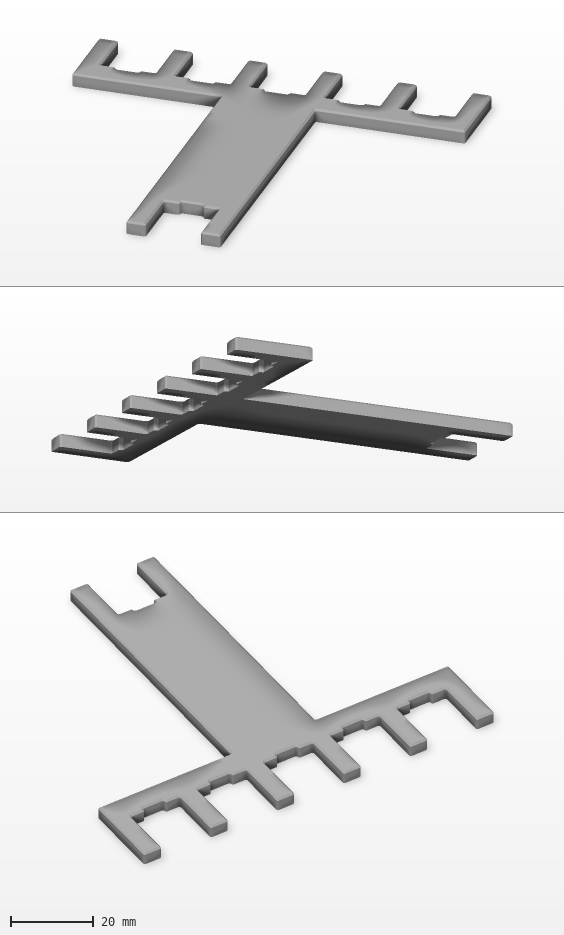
import cadquery as cq

length = 100.3
height = 94.0
thickness = 3.4

finger_count = 6
finger_width = 5.0
finger_pitch = (length - finger_width) / (finger_count - 1)
slot_width = finger_pitch - finger_width
slot_depth = 13.9
notch_width = 6.0
notch_depth = 1.0

bar_depth = 21.0
stem_width = finger_pitch + finger_width

corner_radius = 0.49
top_chamfer = 0.48

top_y = height / 2
bottom_y = -height / 2


def block(width, y_low, y_high, center_x=0.0):
    """Plate-thick block between two Y levels, centred on an X position."""
    return (
        cq.Workplane("XY")
        .center(center_x, (y_low + y_high) / 2)
        .rect(width, y_high - y_low)
        .extrude(thickness)
    )


def stepped_slot(center_x, mouth_y, inward):
    """Slot open at mouth_y, with a narrow notch in its floor; inward is +1 or -1 along Y."""
    floor_y = mouth_y + inward * slot_depth
    notch_y = floor_y + inward * notch_depth
    slot = block(slot_width, min(mouth_y, floor_y), max(mouth_y, floor_y), center_x)
    notch = block(notch_width, min(mouth_y, notch_y), max(mouth_y, notch_y), center_x)
    return slot.union(notch)


bar = block(length, top_y - bar_depth, top_y)
stem = block(stem_width, bottom_y, top_y)
plate = bar.union(stem)

slot_count = finger_count - 1
for index in range(slot_count):
    slot_x = (index - (slot_count - 1) / 2) * finger_pitch
    plate = plate.cut(stepped_slot(slot_x, top_y, -1))
plate = plate.cut(stepped_slot(0.0, bottom_y, 1))

plate = plate.edges("|Z").fillet(corner_radius)
result = plate.faces(">Z").chamfer(top_chamfer)